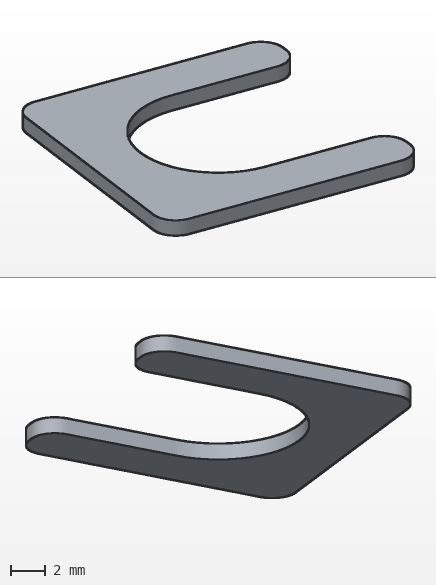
import cadquery as cq

side = 17.27
thickness = 1.0
corner_radius = 1.5
slot_width = 10.5

half_side = side / 2
slot_radius = slot_width / 2

plate = cq.Workplane("XY").rect(side, side).extrude(thickness)

slot_end = cq.Workplane("XY").circle(slot_radius).extrude(thickness)
slot_mouth = (
    cq.Workplane("XY")
    .center(0, half_side / 2)
    .rect(slot_width, half_side)
    .extrude(thickness)
)

result = (
    plate.cut(slot_end.union(slot_mouth))
    .edges("|Z")
    .edges(">Y or <Y")
    .fillet(corner_radius)
)